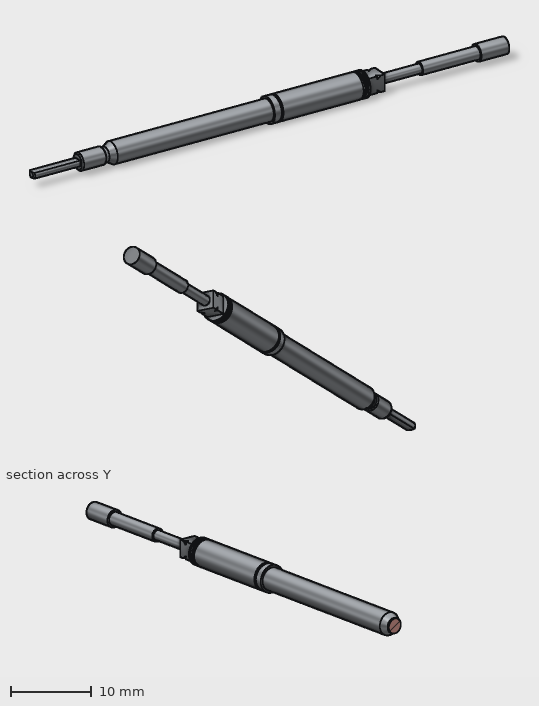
import cadquery as cq

total_length = 69.5

head_diameter = 2.3
head_length = 4.1
stem_diameter = 1.75
stem_end = 12.5
rod_diameter = 1.3
rod_end = 18.3

block_side = 2.3
block_end = 20.8
notch_start = 18.9
notch_end = 19.4
notch_root_radius = 1.36

barrel_diameter = 3.6
front_collar_end = 21.05
front_groove_diameter = 2.9
front_groove_end = 21.4
front_lip_length = 0.1
taper_diameter = 3.3
taper_end = 21.85
rear_groove_start = 33.6
rear_groove_width = 0.2
rear_groove_depth = 0.1
barrel_end = 34.85

body_diameter = 3.0
body_end = 57.75
neck_diameter = 2.0
neck_start = 58.65
neck_end = 59.1
ferrule_diameter = 2.4
ferrule_end = 62.7
ferrule_front_chamfer = 0.15
ferrule_rear_chamfer = 0.2

pin_diameter = 1.3
pin_thickness = 0.8
pin_tip_chamfer = 0.25
pin_tip_chamfer_length = 0.15


def turned(outline):
    """Solid of revolution about Y from (station, radius) points."""
    first_station = outline[0][0]
    last_station = outline[-1][0]
    points = [(radius, -station) for station, radius in outline]
    profile = [(0, -first_station)] + points + [(0, -last_station)]
    return cq.Workplane("XY").polyline(profile).close().revolve(360, (0, 0, 0), (0, 1, 0))


def cylinder(start, end, diameter):
    return turned([(start, diameter / 2), (end, diameter / 2)])


def make_plunger():
    head = cylinder(0, head_length, head_diameter)
    stem = cylinder(head_length, stem_end, stem_diameter)
    rod = cylinder(stem_end, rod_end, rod_diameter)
    return head.union(stem).union(rod)


def make_guide_block():
    length = block_end - rod_end
    block = cq.Workplane("XY").box(block_side, length, block_side)
    block = block.translate((0, -(rod_end + block_end) / 2, 0))
    corner_radius = block_side / 2 ** 0.5
    ring = cylinder(notch_start, notch_end, 2 * block_side)
    core = turned([(notch_start, corner_radius), (notch_end, notch_root_radius)])
    return block.cut(ring.cut(core))


def make_barrel():
    radius = barrel_diameter / 2
    groove_radius = front_groove_diameter / 2
    rear_groove_end = rear_groove_start + rear_groove_width
    outline = [
        (block_end, radius),
        (front_collar_end, radius),
        (front_collar_end, groove_radius),
        (front_groove_end, groove_radius),
        (front_groove_end, radius),
        (front_groove_end + front_lip_length, radius),
        (front_groove_end + front_lip_length, taper_diameter / 2),
        (taper_end, radius),
        (rear_groove_start, radius),
        (rear_groove_start, radius - rear_groove_depth),
        (rear_groove_end, radius - rear_groove_depth),
        (rear_groove_end, radius),
        (barrel_end, radius),
    ]
    return turned(outline)


def make_body_and_ferrule():
    body_radius = body_diameter / 2
    neck_radius = neck_diameter / 2
    ferrule_radius = ferrule_diameter / 2
    outline = [
        (barrel_end, body_radius),
        (body_end, body_radius),
        (neck_start, neck_radius),
        (neck_end, neck_radius),
        (neck_end + ferrule_front_chamfer, ferrule_radius),
        (ferrule_end - ferrule_rear_chamfer, ferrule_radius),
        (ferrule_end, ferrule_radius - ferrule_rear_chamfer),
    ]
    return turned(outline)


def make_pin():
    radius = pin_diameter / 2
    wire = turned([
        (ferrule_end, radius),
        (total_length - pin_tip_chamfer_length, radius),
        (total_length, radius - pin_tip_chamfer),
    ])
    slab = cq.Workplane("XY").box(2 * pin_diameter, 2 * total_length, pin_thickness)
    return wire.intersect(slab)


result = (
    make_plunger()
    .union(make_guide_block())
    .union(make_barrel())
    .union(make_body_and_ferrule())
    .union(make_pin())
)